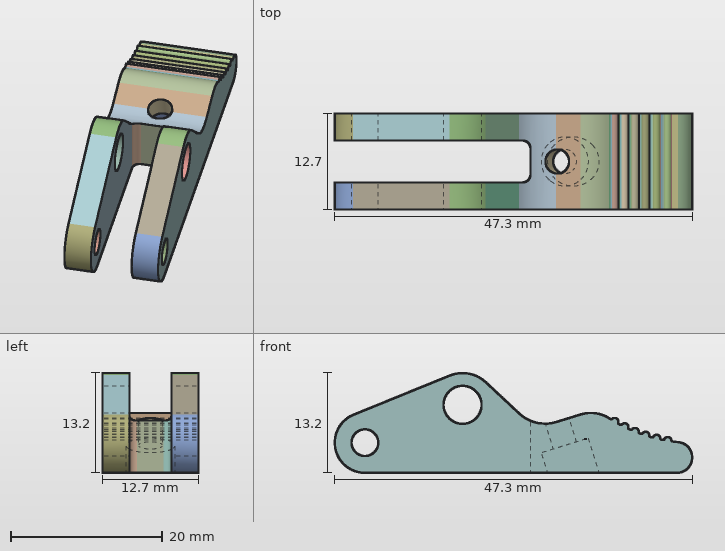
import cadquery as cq
import math

LENGTH = 47.25
WIDTH = 12.7
HEIGHT = 13.21

PIVOT_RADIUS = 4.0
PIVOT_HOLE_DIAMETER = 3.5
PIVOT_CENTRE = (PIVOT_RADIUS, PIVOT_RADIUS)

PEAK_RADIUS = 4.5
PEAK_X = 16.9
PEAK_CENTRE = (PEAK_X, HEIGHT - PEAK_RADIUS)
PIN_HOLE_DIAMETER = 5.0
PIN_HOLE_CENTRE = (PEAK_X, 9.0)

VALLEY_RADIUS = 5.0
VALLEY_FLOOR = 6.52
VALLEY_CENTRE = (27.8, VALLEY_FLOOR + VALLEY_RADIUS)

HUMP_RADIUS = 4.5
HUMP_TOP = 7.95
HUMP_CENTRE = (33.85, HUMP_TOP - HUMP_RADIUS)

NOSE_RADIUS = 2.05
NOSE_CENTRE = (LENGTH - NOSE_RADIUS, NOSE_RADIUS)

THUMB_RADIUS = 20.0
RIDGE_COUNT = 6
RIDGE_RADIUS = 0.5
RIDGE_FILLET = 0.15
FIRST_RIDGE_X = 37.0
LAST_RIDGE_X = 44.0

SLOT_WIDTH = 5.5
SLOT_END = 25.85
SLOT_CORNER_RADIUS = 1.0

SCREW_X = 29.43
SCREW_DIAMETER = 3.2
SCREW_LENGTH = 3.3
COUNTERBORE_DIAMETER = 6.5


def point_on_circle(centre, radius, angle):
    """Point on a circle at an angle measured from +X towards +Z."""
    return (centre[0] + radius * math.cos(angle), centre[1] + radius * math.sin(angle))


def tangent_line(first_centre, first_radius, second_centre, second_radius):
    """Ends of the line that touches two rounds from above.

    A convex round has a positive radius and a hollow one a negative radius.
    """
    dx = second_centre[0] - first_centre[0]
    dz = second_centre[1] - first_centre[1]
    direction = math.atan2(dz, dx) - math.asin((first_radius - second_radius) / math.hypot(dx, dz))
    normal = direction + math.pi / 2
    start = point_on_circle(first_centre, first_radius, normal)
    end = point_on_circle(second_centre, second_radius, normal)
    return start, end


def find_thumb_centre():
    """Centre above the lever of the hollow arc that touches both hump and nose."""
    hump_distance = THUMB_RADIUS + HUMP_RADIUS
    nose_distance = THUMB_RADIUS + NOSE_RADIUS
    dx = NOSE_CENTRE[0] - HUMP_CENTRE[0]
    dz = NOSE_CENTRE[1] - HUMP_CENTRE[1]
    span = math.hypot(dx, dz)
    cosine = (hump_distance**2 + span**2 - nose_distance**2) / (2 * hump_distance * span)
    return point_on_circle(HUMP_CENTRE, hump_distance, math.atan2(dz, dx) + math.acos(cosine))


def point_toward(centre, radius, target):
    """Point on a circle that lies toward a target point."""
    return point_on_circle(centre, radius, math.atan2(target[1] - centre[1], target[0] - centre[0]))


THUMB_CENTRE = find_thumb_centre()
BACK_START, BACK_END = tangent_line(PIVOT_CENTRE, PIVOT_RADIUS, PEAK_CENTRE, PEAK_RADIUS)
FALL_START, FALL_END = tangent_line(PEAK_CENTRE, PEAK_RADIUS, VALLEY_CENTRE, -VALLEY_RADIUS)
RAMP_START, RAMP_END = tangent_line(VALLEY_CENTRE, -VALLEY_RADIUS, HUMP_CENTRE, HUMP_RADIUS)
RAMP_ANGLE = math.atan2(RAMP_END[1] - RAMP_START[1], RAMP_END[0] - RAMP_START[0])
THUMB_START = point_toward(HUMP_CENTRE, HUMP_RADIUS, THUMB_CENTRE)
THUMB_END = point_toward(NOSE_CENTRE, NOSE_RADIUS, THUMB_CENTRE)
THUMB_MIDDLE_X = (THUMB_START[0] + THUMB_END[0]) / 2


def thumb_angle(x):
    """Angle about the thumb rest centre of the surface point at a given X."""
    return -math.acos((x - THUMB_CENTRE[0]) / THUMB_RADIUS)


def point_on_thumb_rest(angle):
    """Point on the hollow thumb rest at an angle about its centre."""
    return point_on_circle(THUMB_CENTRE, THUMB_RADIUS, angle)


def extrude_across(sketch):
    """Extrude a side outline symmetrically over the full width."""
    return sketch.extrude(WIDTH / 2, both=True)


def make_body():
    """Side outline of the lever, extruded over its width."""
    outline = (
        cq.Workplane("XZ")
        .moveTo(PIVOT_CENTRE[0], 0)
        .threePointArc((0, PIVOT_CENTRE[1]), BACK_START)
        .lineTo(*BACK_END)
        .threePointArc((PEAK_CENTRE[0], HEIGHT), FALL_START)
        .lineTo(*FALL_END)
        .threePointArc((VALLEY_CENTRE[0], VALLEY_FLOOR), RAMP_START)
        .lineTo(*RAMP_END)
        .threePointArc((HUMP_CENTRE[0], HUMP_TOP), THUMB_START)
        .threePointArc(point_on_thumb_rest(thumb_angle(THUMB_MIDDLE_X)), THUMB_END)
        .threePointArc((LENGTH, NOSE_CENTRE[1]), (NOSE_CENTRE[0], 0))
        .close()
    )
    return extrude_across(outline)


def add_ridges(body):
    """Add the evenly spaced grip ridges and round their roots."""
    first_angle = thumb_angle(FIRST_RIDGE_X)
    pitch = (thumb_angle(LAST_RIDGE_X) - first_angle) / (RIDGE_COUNT - 1)
    ridge_angles = [first_angle + index * pitch for index in range(RIDGE_COUNT)]
    for angle in ridge_angles:
        centre = point_on_thumb_rest(angle)
        body = body.union(extrude_across(cq.Workplane("XZ").center(*centre).circle(RIDGE_RADIUS)))

    root_angle = 2 * math.asin(RIDGE_RADIUS / (2 * THUMB_RADIUS))
    for angle in ridge_angles:
        for side in (-1, 1):
            root_x, root_z = point_on_thumb_rest(angle + side * root_angle)
            root = cq.selectors.NearestToPointSelector((root_x, 0, root_z))
            body = body.edges("|Y").edges(root).fillet(RIDGE_FILLET)
    return body


def cut_cross_hole(body, centre, diameter):
    """Drill a hole through both cheeks along Y."""
    return body.cut(extrude_across(cq.Workplane("XZ").center(*centre).circle(diameter / 2)))


def cut_slot(body):
    """Cut the slot between the cheeks, open at the pivot end, with rounded inner corners."""
    slot = (
        cq.Workplane("XY")
        .box(SLOT_END, SLOT_WIDTH, HEIGHT, centered=(False, True, False))
        .edges("|Z and >X")
        .fillet(SLOT_CORNER_RADIUS)
    )
    return body.cut(slot)


def cut_screw_hole(body):
    """Drill the tilted screw hole and its counterbore, which opens on the underside."""
    surface_z = RAMP_START[1] + (SCREW_X - RAMP_START[0]) * math.tan(RAMP_ANGLE)
    down = (math.sin(RAMP_ANGLE), 0, -math.cos(RAMP_ANGLE))
    toward_pivot = (-math.cos(RAMP_ANGLE), 0, -math.sin(RAMP_ANGLE))
    entry = cq.Plane(origin=(SCREW_X, 0, surface_z), xDir=toward_pivot, normal=down)
    hole = cq.Workplane(entry).circle(SCREW_DIAMETER / 2).extrude(SCREW_LENGTH, both=True)
    counterbore = (
        cq.Workplane(entry)
        .workplane(offset=SCREW_LENGTH)
        .circle(COUNTERBORE_DIAMETER / 2)
        .extrude(HEIGHT)
    )
    return body.cut(hole).cut(counterbore)


lever = add_ridges(make_body())
lever = cut_cross_hole(lever, PIVOT_CENTRE, PIVOT_HOLE_DIAMETER)
lever = cut_cross_hole(lever, PIN_HOLE_CENTRE, PIN_HOLE_DIAMETER)
lever = cut_slot(lever)
result = cut_screw_hole(lever)